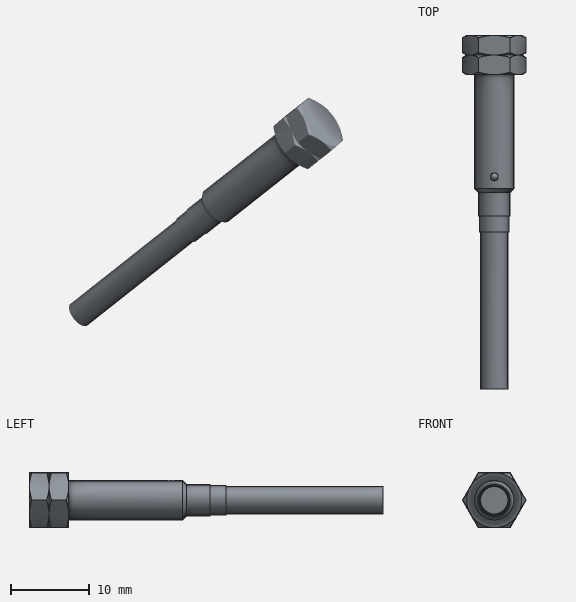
import cadquery as cq
import math


nut_count = 2
nut_across_flats = 7.0
nut_thickness = 2.5
nut_chamfer_angle = 30.0

barrel_diameter = 5.0
barrel_length = 20.0
neck_diameter = 4.0
collar_diameter = 3.8
collar_length = 2.0
cable_diameter = 3.5
collar_end = 25.0
cable_end = 45.0
barrel_chamfer = (barrel_diameter - neck_diameter) / 2

lamp_diameter = 1.0
lamp_position = 18.0


def rod(diameter, start, end):
    """Cylinder on the shared axis between two distances behind the front face."""
    plane = cq.Workplane("XZ").workplane(offset=start)
    return plane.circle(diameter / 2).extrude(end - start)


def make_nut(start):
    """Hexagon nut with corners chamfered on both faces and a plain bore for the barrel."""
    corner_radius = nut_across_flats / math.sqrt(3)
    face_radius = nut_across_flats / 2
    chamfer_depth = (corner_radius - face_radius) * math.tan(math.radians(nut_chamfer_angle))
    hexagon = (
        cq.Workplane("XZ")
        .workplane(offset=start)
        .polygon(6, 2 * corner_radius)
        .extrude(nut_thickness)
    )
    chamfer_envelope = (
        cq.Workplane("XY")
        .moveTo(0, -start)
        .lineTo(face_radius, -start)
        .lineTo(corner_radius, -start - chamfer_depth)
        .lineTo(corner_radius, -start - nut_thickness + chamfer_depth)
        .lineTo(face_radius, -start - nut_thickness)
        .lineTo(0, -start - nut_thickness)
        .close()
        .revolve(360, (0, 0, 0), (0, 1, 0))
    )
    bore = rod(barrel_diameter, start, start + nut_thickness)
    return hexagon.intersect(chamfer_envelope).cut(bore)


def make_sensor():
    """Barrel, neck, collar and cable as one body, with the domed lamp in its recess."""
    barrel = rod(barrel_diameter, 0, barrel_length).faces("<Y").chamfer(barrel_chamfer)
    neck = rod(neck_diameter, barrel_length, collar_end - collar_length)
    collar = rod(collar_diameter, collar_end - collar_length, collar_end)
    cable = rod(cable_diameter, collar_end, cable_end)
    sensor = barrel.union(neck).union(collar).union(cable)

    lamp_radius = lamp_diameter / 2
    lamp_base = barrel_diameter / 2 - lamp_radius
    recess = (
        cq.Workplane("XY")
        .workplane(offset=lamp_base)
        .center(0, -lamp_position)
        .circle(lamp_radius)
        .extrude(lamp_diameter)
    )
    dome = cq.Workplane("XY").sphere(lamp_radius).translate((0, -lamp_position, lamp_base))
    return sensor.cut(recess).union(dome)


nuts = [make_nut(index * nut_thickness) for index in range(nut_count)]
sensor = make_sensor()

result = cq.Compound.makeCompound([sensor.val(), *[nut.val() for nut in nuts]])